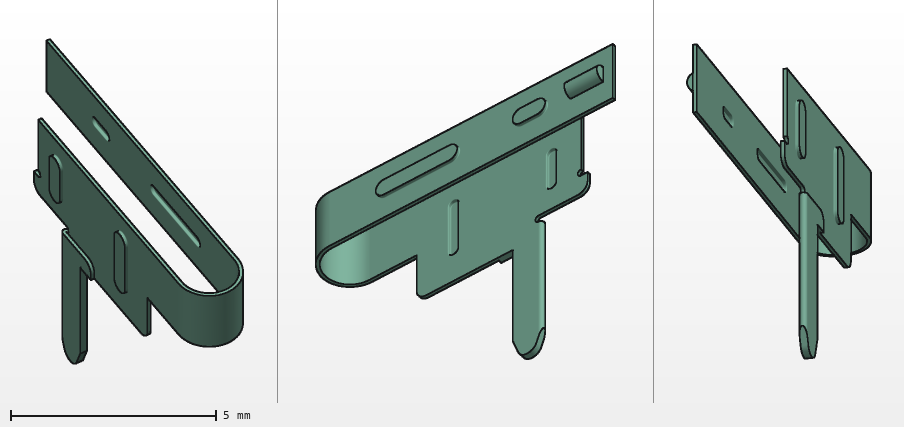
import math

import cadquery as cq


SHEET = 0.1
OVERALL_LENGTH = 9.55
U_WIDTH = 1.7
BEND_RADIUS = U_WIDTH / 2
BEND_X = OVERALL_LENGTH - BEND_RADIUS
ARM_HEIGHT = 1.8
REAR_ARM_DROP = 0.05

PLATE_LEFT = 2.2
PLATE_RIGHT = 7.25
PLATE_BOTTOM = -3.3
CORNER_RADIUS = 0.3
RELIEF_RADIUS = 0.1
LUG_LEFT = 2.0
LUG_TOP = -ARM_HEIGHT - 2 * RELIEF_RADIUS
LUG_BOTTOM = -2.6

PIN_LEFT = 3.4
PIN_WIDTH = 0.9
PIN_RIGHT = PIN_LEFT + PIN_WIDTH
PIN_CENTER = PIN_LEFT + PIN_WIDTH / 2
PIN_BOTTOM = -7.0
TIP_RADIUS = 0.3
TIP_TAPER = math.radians(20)
FOLD_X = PIN_LEFT + SHEET
TAB_TOP = LUG_BOTTOM - 2 * RELIEF_RADIUS
TAB_RIGHT = 4.8

BEAD_WIDTH = 0.5
BEAD_HEIGHT = SHEET
BEAD_WALL_INSET = SHEET
BEAD_FILLET = 0.02
BEAD_TOP = -0.5
FRONT_BEADS = [(3.115, 1.5), (6.125, 2.0)]
REAR_BEADS = [(2.5, 1.0), (5.95, 2.5)]
REAR_BEAD_Z = -REAR_ARM_DROP - ARM_HEIGHT / 2

RIB_RADIUS = 0.25
RIB_START = 0.3
RIB_LENGTH = 1.0
RIB_Z = -0.9


def spring_strip():
    """U-shaped strip whose edges slope across the bend to the lower rear arm."""
    rear_bottom = -ARM_HEIGHT - REAR_ARM_DROP
    inner_radius = BEND_RADIUS - SHEET
    path = (
        cq.Workplane("XY")
        .moveTo(PLATE_LEFT, 0)
        .lineTo(BEND_X, 0)
        .threePointArc((OVERALL_LENGTH, BEND_RADIUS), (BEND_X, U_WIDTH))
        .lineTo(0, U_WIDTH)
        .lineTo(0, U_WIDTH - SHEET)
        .lineTo(BEND_X, U_WIDTH - SHEET)
        .threePointArc((BEND_X + inner_radius, BEND_RADIUS), (BEND_X, SHEET))
        .lineTo(PLATE_LEFT, SHEET)
        .close()
        .extrude(rear_bottom)
    )
    edge_band = (
        cq.Workplane("YZ")
        .moveTo(0, 0)
        .lineTo(SHEET, 0)
        .lineTo(U_WIDTH - SHEET, -REAR_ARM_DROP)
        .lineTo(U_WIDTH, -REAR_ARM_DROP)
        .lineTo(U_WIDTH, rear_bottom)
        .lineTo(U_WIDTH - SHEET, rear_bottom)
        .lineTo(SHEET, -ARM_HEIGHT)
        .lineTo(0, -ARM_HEIGHT)
        .close()
        .extrude(OVERALL_LENGTH)
    )
    return path.intersect(edge_band)


def mounting_plate():
    """Flat plate with a lug at the left and round reliefs at both inside corners."""
    plate = (
        cq.Workplane("XZ")
        .moveTo(PLATE_LEFT, 0)
        .lineTo(PLATE_RIGHT, 0)
        .lineTo(PLATE_RIGHT, PLATE_BOTTOM)
        .lineTo(FOLD_X, PLATE_BOTTOM)
        .lineTo(FOLD_X, TAB_TOP)
        .threePointArc((FOLD_X + RELIEF_RADIUS, TAB_TOP + RELIEF_RADIUS), (FOLD_X, LUG_BOTTOM))
        .lineTo(LUG_LEFT, LUG_BOTTOM)
        .lineTo(LUG_LEFT, LUG_TOP)
        .lineTo(PLATE_LEFT, LUG_TOP)
        .threePointArc((PLATE_LEFT + RELIEF_RADIUS, LUG_TOP + RELIEF_RADIUS), (PLATE_LEFT, -ARM_HEIGHT))
        .close()
        .extrude(-SHEET)
    )
    for x, z in ((PLATE_RIGHT, PLATE_BOTTOM), (LUG_LEFT, LUG_BOTTOM)):
        corner = cq.selectors.NearestToPointSelector((x, SHEET / 2, z))
        plate = plate.edges("|Y").edges(corner).fillet(CORNER_RADIUS)
    return plate


def folded_pin():
    """Double-layer pin with a rounded fold on its left edge and a tapered round tip."""
    tip_center_z = PIN_BOTTOM + TIP_RADIUS
    tangent_x = TIP_RADIUS * math.cos(TIP_TAPER)
    tangent_z = tip_center_z - TIP_RADIUS * math.sin(TIP_TAPER)
    taper_top = tangent_z + (PIN_WIDTH / 2 - tangent_x) / math.tan(TIP_TAPER)
    outline = (
        cq.Workplane("XZ", origin=(0, -SHEET, 0))
        .moveTo(PIN_LEFT, TAB_TOP)
        .lineTo(PIN_RIGHT, TAB_TOP)
        .lineTo(PIN_RIGHT, taper_top)
        .lineTo(PIN_CENTER + tangent_x, tangent_z)
        .threePointArc((PIN_CENTER, PIN_BOTTOM), (PIN_CENTER - tangent_x, tangent_z))
        .lineTo(PIN_LEFT, taper_top)
        .close()
        .extrude(-2 * SHEET)
    )
    fold_section = (
        cq.Workplane("XY")
        .moveTo(PIN_RIGHT, -SHEET)
        .lineTo(FOLD_X, -SHEET)
        .threePointArc((PIN_LEFT, 0), (FOLD_X, SHEET))
        .lineTo(PIN_RIGHT, SHEET)
        .close()
        .extrude(PIN_BOTTOM)
    )
    return outline.intersect(fold_section)


def folded_tab():
    """Front layer of the fold, lying on the mounting plate above the pin."""
    return (
        cq.Workplane("XZ")
        .moveTo(FOLD_X, TAB_TOP)
        .lineTo(TAB_RIGHT - CORNER_RADIUS, TAB_TOP)
        .radiusArc((TAB_RIGHT, TAB_TOP - CORNER_RADIUS), CORNER_RADIUS)
        .lineTo(TAB_RIGHT, PLATE_BOTTOM)
        .lineTo(FOLD_X, PLATE_BOTTOM)
        .close()
        .extrude(SHEET)
    )


def slot_block(length, width, angle):
    """Round-ended block rising from Y = 0 towards -Y."""
    return cq.Workplane("XZ").slot2D(length, width, angle).extrude(BEAD_HEIGHT)


def round_rim(body, x, y, z, span):
    """Round the closed rim that lies in the plane Y = y around the point (x, z)."""
    reach = span / 2 + BEAD_FILLET
    rim = cq.selectors.BoxSelector(
        (x - reach, y - BEAD_FILLET, z - reach),
        (x + reach, y + BEAD_FILLET, z + reach),
    )
    return body.edges("#Y").edges(rim).fillet(BEAD_FILLET)


def add_bead(body, x, z, length, angle, on_rear_arm):
    """Raise a bead on an outer face, press its recess into the inner one, round both rims."""
    outer_y = U_WIDTH if on_rear_arm else 0
    inner_y = U_WIDTH - SHEET if on_rear_arm else SHEET
    shrink = 2 * BEAD_WALL_INSET
    bead = slot_block(length, BEAD_WIDTH, angle)
    recess = slot_block(length - shrink, BEAD_WIDTH - shrink, angle).translate((0, SHEET, 0))
    if on_rear_arm:
        bead = bead.mirror("XZ")
        recess = recess.mirror("XZ")
    position = (x, outer_y, z)
    body = body.union(bead.translate(position)).cut(recess.translate(position))
    body = round_rim(body, x, outer_y, z, length)
    return round_rim(body, x, inner_y, z, length)


def contact_rib():
    """Half-round rib along X on the outer face of the rear arm."""
    return (
        cq.Workplane("YZ", origin=(RIB_START, U_WIDTH, RIB_Z))
        .moveTo(0, -RIB_RADIUS)
        .threePointArc((RIB_RADIUS, 0), (0, RIB_RADIUS))
        .close()
        .extrude(RIB_LENGTH)
    )


result = spring_strip().union(mounting_plate()).union(folded_pin()).union(folded_tab())
result = result.union(contact_rib())

for bead_x, bead_length in FRONT_BEADS:
    result = add_bead(result, bead_x, BEAD_TOP - bead_length / 2, bead_length, 90, False)

for bead_x, bead_length in REAR_BEADS:
    result = add_bead(result, bead_x, REAR_BEAD_Z, bead_length, 0, True)